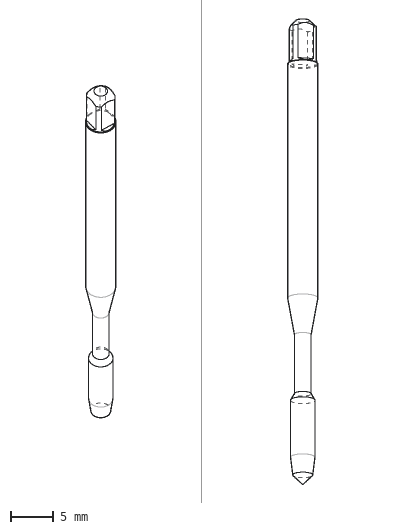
import cadquery as cq

total_length = 56.85

thread_diameter = 2.9
lead_diameter = 2.4
point_height = 1.2
lead_top_z = 3.35
thread_top_z = 10.35

collar_height = 0.8
neck_diameter = 2.0
neck_top_z = 18.35
taper_top_z = 22.85
shank_diameter = 3.6

drive_length = 5.35
drive_diameter = 3.4
across_flats = 2.85
tip_diameter = 1.6
flat_count = 4


def revolve_profile(points):
    """Revolve a closed (radius, z) outline about the Z axis."""
    return cq.Workplane("XZ").polyline(points).close().revolve(360, (0, 0, 0), (0, 1, 0))


def make_head():
    """Threaded head with a conical point and a tapered lead."""
    return revolve_profile([
        (0, 0),
        (lead_diameter / 2, point_height),
        (thread_diameter / 2, lead_top_z),
        (thread_diameter / 2, thread_top_z),
        (0, thread_top_z),
    ])


def make_shank_blank():
    """Turned shank before the drive flats are cut."""
    drive_base_z = total_length - drive_length
    shoulder_height = (shank_diameter - drive_diameter) / 2
    end_cone_height = (drive_diameter - tip_diameter) / 2
    return revolve_profile([
        (0, thread_top_z),
        (thread_diameter / 2, thread_top_z),
        (neck_diameter / 2, thread_top_z + collar_height),
        (neck_diameter / 2, neck_top_z),
        (shank_diameter / 2, taper_top_z),
        (shank_diameter / 2, drive_base_z),
        (drive_diameter / 2, drive_base_z + shoulder_height),
        (drive_diameter / 2, total_length - end_cone_height),
        (tip_diameter / 2, total_length),
        (0, total_length),
    ])


def make_flat_cutter():
    """Cutter for the +X flat, ending below in a 45 degree slope that meets the shank surface."""
    flat_x = across_flats / 2
    outer_x = shank_diameter / 2
    slope_bottom_z = total_length - drive_length
    slope_top_z = slope_bottom_z + outer_x - flat_x
    outline = [
        (flat_x, total_length),
        (flat_x, slope_top_z),
        (outer_x, slope_bottom_z),
        (outer_x, total_length),
    ]
    return cq.Workplane("XZ").polyline(outline).close().extrude(shank_diameter / 2, both=True)


def make_shank():
    """Shank with neck, taper and square drive."""
    shank = make_shank_blank()
    for index in range(flat_count):
        angle = index * 360 / flat_count
        shank = shank.cut(make_flat_cutter().rotate((0, 0, 0), (0, 0, 1), angle))
    return shank


head = make_head()
shank = make_shank()
result = cq.Compound.makeCompound([head.val(), shank.val()])